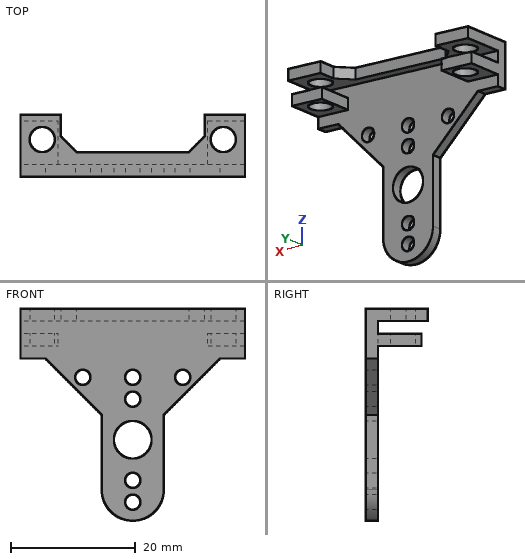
import cadquery as cq

width = 36.0
height = 34.0
plate_thickness = 2.0
head_height = 8.0
shoulder_half_width = 14.0
arm_half_width = 5.0
arm_start_z = -17.0
arm_end_z = arm_half_width - height

flange_thickness = 2.0
flange_depth = 10.0
rail_depth = 4.0
ear_width = 6.5
ear_gusset = 2.5

ear_gap = 2.0
lower_ear_depth = 9.0
lower_ear_width = 6.0
lower_ear_thickness = 2.0

ear_hole_diameter = 4.0
ear_hole_spacing = 29.0
ear_hole_y = 6.0
center_hole_diameter = 6.0
center_hole_z = -21.0
small_hole_diameter = 2.4
inner_hole_offset = 6.5
outer_hole_offset = 10.0
side_hole_spacing = 16.0

half_width = width / 2
sides = (-1, 1)


def make_plate():
    """Wide head tapering to a round-ended arm."""
    outline = (
        cq.Workplane("XZ")
        .moveTo(-half_width, 0)
        .lineTo(half_width, 0)
        .lineTo(half_width, -head_height)
        .lineTo(shoulder_half_width, -head_height)
        .lineTo(arm_half_width, arm_start_z)
        .lineTo(arm_half_width, arm_end_z)
        .threePointArc((0, -height), (-arm_half_width, arm_end_z))
        .lineTo(-arm_half_width, arm_start_z)
        .lineTo(-shoulder_half_width, -head_height)
        .lineTo(-half_width, -head_height)
        .close()
    )
    return outline.extrude(-plate_thickness)


def make_flange():
    """Rail along the top edge, widening through gussets into an ear at each end."""
    ear_inner_x = half_width - ear_width
    gusset_x = ear_inner_x - ear_gusset
    gusset_y = rail_depth + ear_gusset
    return (
        cq.Workplane("XY")
        .polyline([
            (-half_width, 0),
            (half_width, 0),
            (half_width, flange_depth),
            (ear_inner_x, flange_depth),
            (ear_inner_x, gusset_y),
            (gusset_x, rail_depth),
            (-gusset_x, rail_depth),
            (-ear_inner_x, gusset_y),
            (-ear_inner_x, flange_depth),
            (-half_width, flange_depth),
        ])
        .close()
        .extrude(-flange_thickness)
    )


def make_lower_ear(side):
    """Rectangular ear below one end of the flange."""
    center_x = side * (half_width - lower_ear_width / 2)
    bottom_z = -(flange_thickness + ear_gap + lower_ear_thickness)
    return cq.Workplane("XY", origin=(center_x, 0, bottom_z)).box(
        lower_ear_width, lower_ear_depth, lower_ear_thickness, centered=(True, False, False)
    )


def plate_holes(points, diameter):
    """Cutters through the plate at (X, Z) points."""
    return cq.Workplane("XZ").pushPoints(points).circle(diameter / 2).extrude(-plate_thickness)


def ear_holes():
    """Vertical cutters through the upper and lower ears."""
    points = [(side * ear_hole_spacing / 2, ear_hole_y) for side in sides]
    return cq.Workplane("XY").pushPoints(points).circle(ear_hole_diameter / 2).extrude(-head_height)


small_hole_points = []
for offset in (inner_hole_offset, outer_hole_offset):
    for side in sides:
        small_hole_points.append((0, center_hole_z + side * offset))
for side in sides:
    small_hole_points.append((side * side_hole_spacing / 2, center_hole_z + outer_hole_offset))

result = make_plate().union(make_flange())
for side in sides:
    result = result.union(make_lower_ear(side))
result = result.cut(plate_holes([(0, center_hole_z)], center_hole_diameter))
result = result.cut(plate_holes(small_hole_points, small_hole_diameter))
result = result.cut(ear_holes())